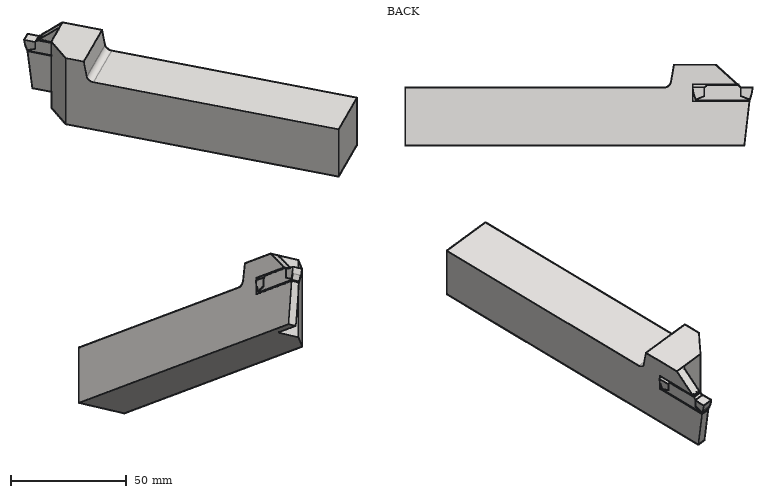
import cadquery as cq
import math

length = 150.0
shank_width = 25.0
shank_height = 25.0
head_height = 35.0
head_top_end = 34.0
head_back_angle = 10.0
head_back_radius = 3.0
wall_x = 16.0
corner_chamfer = 9.8

blade_thickness = 4.0
blade_face = shank_width - blade_thickness
blade_foot_x = 3.6
blade_front_angle = 6.6
wall_fillet = 1.0

insert_length = 26.0
cutting_width = 5.0
side_overhang = 0.5
insert_bottom = 19.5
insert_top = 26.0
body_overhang = 0.2
rail_height = 0.5
rail_width = 1.8
nose_x = 1.4

head_length = 5.1
head_side_bottom = 21.3
head_tip_bottom = 19.8
land_bottom = 22.2
land_setback = 0.5
head_plan_taper = 0.08
head_side_relief = 0.2

insert_back = shank_width + side_overhang
insert_front = insert_back - cutting_width
insert_middle_x = insert_length / 2
insert_middle_y = (insert_front + insert_back) / 2
body_face = blade_face - body_overhang
slot_bottom = insert_bottom - rail_height
slot_top = insert_top + rail_height
ramp_slope = (head_height - shank_height) / (wall_x - head_length)
body_ramp_x = head_length + (insert_top - shank_height) / ramp_slope


def side_prism(points, y_start, y_end):
    """Extrude an XZ outline from y_start to y_end."""
    outline = cq.Workplane("XZ", origin=(0, y_start, 0)).polyline(points).close()
    return outline.extrude(y_start - y_end)


def span_box(x_range, y_range, z_range):
    """Box filling the given ranges along the three axes."""
    sizes = [high - low for low, high in (x_range, y_range, z_range)]
    corner = (x_range[0], y_range[0], z_range[0])
    return cq.Workplane("XY").box(*sizes, centered=False).translate(corner)


def mirrored_end(shape):
    """Copy a shape to the other end of the insert."""
    return shape.mirror("YZ", (insert_middle_x, 0, 0))


def make_holder_blank():
    """Side outline narrowed in plan to the blade and the chamfered head."""
    back_lean = math.tan(math.radians(head_back_angle))
    back_foot_x = head_top_end + (head_height - shank_height) * back_lean
    blade_lean = math.tan(math.radians(blade_front_angle))
    side = side_prism(
        [
            (blade_foot_x, 0),
            (length, 0),
            (length, shank_height),
            (back_foot_x, shank_height),
            (head_top_end, head_height),
            (wall_x, head_height),
            (head_length, shank_height),
            (blade_foot_x - shank_height * blade_lean, shank_height),
        ],
        0,
        shank_width,
    )
    back_foot = cq.selectors.NearestToPointSelector((back_foot_x, shank_width / 2, shank_height))
    side = side.edges(back_foot).fillet(head_back_radius)
    plan = (
        cq.Workplane("XY")
        .moveTo(0, shank_width)
        .lineTo(0, blade_face)
        .lineTo(wall_x - wall_fillet, blade_face)
        .radiusArc((wall_x, blade_face - wall_fillet), wall_fillet)
        .lineTo(wall_x, corner_chamfer)
        .lineTo(wall_x + corner_chamfer, 0)
        .lineTo(length, 0)
        .lineTo(length, shank_width)
        .close()
        .extrude(head_height)
    )
    return side.intersect(plan)


def head_section(inset):
    """YZ outline of the cutting head, narrower toward the bottom and inset on both sides."""
    front = insert_front + inset
    back = insert_back - inset
    return [
        (front, shank_height),
        (back, shank_height),
        (back - head_side_relief, head_tip_bottom),
        (front + head_side_relief, head_tip_bottom),
    ]


def make_cutting_head():
    """Cutting head with front clearance, plan taper and side relief."""
    profile = side_prism(
        [
            (0, shank_height),
            (land_setback, land_bottom),
            (nose_x, head_tip_bottom),
            (head_length, head_side_bottom),
            (head_length, shank_height),
        ],
        insert_front,
        insert_back,
    )
    tapered_block = (
        cq.Workplane("YZ")
        .polyline(head_section(0))
        .close()
        .workplane(offset=head_length)
        .polyline(head_section(head_plan_taper))
        .close()
        .loft(ruled=True)
    )
    return profile.intersect(tapered_block)


def make_insert():
    """Body with a ramp at each end, two seating rails and two cutting heads."""
    front_half = [
        (insert_middle_x, insert_bottom),
        (nose_x, insert_bottom),
        (land_setback, land_bottom),
        (head_length, shank_height),
        (body_ramp_x, insert_top),
        (insert_middle_x, insert_top),
    ]
    body_half = side_prism(front_half, body_face, shank_width)
    insert = body_half.union(mirrored_end(body_half))
    rail_y = (insert_middle_y - rail_width / 2, insert_middle_y + rail_width / 2)
    bottom_rail = span_box((nose_x, insert_length - nose_x), rail_y, (slot_bottom, insert_bottom))
    top_rail = span_box((body_ramp_x, insert_length - body_ramp_x), rail_y, (insert_top, slot_top))
    head = make_cutting_head()
    return insert.union(bottom_rail).union(top_rail).union(head).union(mirrored_end(head))


def make_holder(insert):
    """Holder with the insert slot and a recess fitting the rear cutting head."""
    slot = span_box((0, insert_length), (body_face, shank_width), (slot_bottom, slot_top))
    return make_holder_blank().cut(slot).cut(insert)


insert = make_insert()
holder = make_holder(insert)

result = cq.Compound.makeCompound([holder.val(), insert.val()])